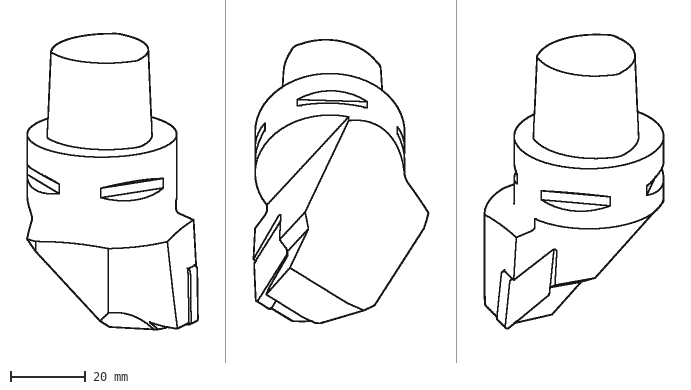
import cadquery as cq
import math

OVERALL_HEIGHT = 74.0
FLANGE_RADIUS = 40.0 / 2
SHANK_HEIGHT = 24.0
SHANK_FLANK_RADIUS = 13.3
SHANK_SEAM_RADIUS = 14.5
SHANK_LOBE_RADIUS = 14.9
LOBE_HALF_ANGLE_BASE = 9.0
LOBE_HALF_ANGLE_TOP = 7.0
LOBE_COUNT = 3
FIRST_LOBE_ANGLE = 90.0
SHANK_TAPER = 0.95

GROOVE_COUNT = 4
GROOVE_FIRST_ANGLE = 45.0
GROOVE_Z = -10.05
GROOVE_FLOOR_DISTANCE = 17.7
GROOVE_FLOOR_HALF_HEIGHT = 1.3
GROOVE_MOUTH_HALF_HEIGHT = 2.7

NECK_Z = -20.05
NECK_FILLET = 1.25
SHOULDER_ANGLE = 15.0
HEAD_RADIUS = 28.0
BLANK_BOTTOM = -55.5
CUTTER_SIZE = 148.0

FRONT_FLAT_Y = -26.05
SLANT_TOP_Z = -16.35
SLANT_ANGLE = 44.5
FLANK_POINT = (24.7, 0, -22.2)
FLANK_NORMAL = (1, -0.093, 0.06)
BOTTOM_POINT = (13.1, 1.5, -48.75)
BOTTOM_NORMAL = (-0.07, -0.089, -1)
HEEL_POINT = (10.4, -24.2, -45.8)
HEEL_NORMAL = (-0.026, -0.183, -1)
BEVEL_POINT = (10.3, FRONT_FLAT_Y, -41.15)
BEVEL_NORMAL = (0.42, -0.93, -0.4)

RAKE_ANGLE = 11.2
RAKE_TOP_Z = -17.8
RAKE_UPPER_OFFSET = 7.3
RAKE_LOWER_OFFSET = 4.2
STEP_TOP_Z = -38.55
STEP_BOTTOM_Z = -40.6

INSERT_NORMAL = (-0.09, -1, 0.09)
INSERT_X_DIRECTION = (1, -0.09, 0)
INSERT_EDGE = 15.55
INSERT_THICKNESS = 4.7
INSERT_NOSE_RADIUS = 0.8
INSERT_CORNER_ANGLE = 55.0
LEADING_EDGE_ANGLE = 93.0
HALF_CORNER = math.radians(INSERT_CORNER_ANGLE / 2)
NOSE_CENTER_RISE = (
    INSERT_NOSE_RADIUS / math.sin(HALF_CORNER) * math.sin(math.radians(LEADING_EDGE_ANGLE) + HALF_CORNER)
)
NOSE_Z = SHANK_HEIGHT - OVERALL_HEIGHT
INSERT_TIP = (27.0, 0, NOSE_Z + INSERT_NOSE_RADIUS - NOSE_CENTER_RISE)

RELIEF_SETBACK = 0.6
RELIEF_LENGTH = 6.8
RELIEF_WALL_ANGLE = -54.0


def polar(radius, angle):
    """Point at a radius and an angle in degrees."""
    return radius * math.cos(math.radians(angle)), radius * math.sin(math.radians(angle))


def material_beyond(point, normal):
    """Large block on the outer side of a plane."""
    return cq.Workplane(cq.Plane(point, normal=normal)).rect(CUTTER_SIZE, CUTTER_SIZE).extrude(CUTTER_SIZE)


def shank_outline(workplane, inset, lobe_half_angle):
    """Three bulging flanks joined by tight lobes."""
    lobe = SHANK_LOBE_RADIUS - inset
    seam = SHANK_SEAM_RADIUS - inset
    flank = SHANK_FLANK_RADIUS - inset
    pitch = 360 / LOBE_COUNT
    outline = workplane.moveTo(*polar(seam, FIRST_LOBE_ANGLE - lobe_half_angle))
    for i in range(LOBE_COUNT):
        angle = FIRST_LOBE_ANGLE + i * pitch
        outline = outline.threePointArc(polar(lobe, angle), polar(seam, angle + lobe_half_angle))
        outline = outline.threePointArc(
            polar(flank, angle + pitch / 2), polar(seam, angle + pitch - lobe_half_angle)
        )
    return outline.close()


def make_shank():
    base = shank_outline(cq.Workplane("XY"), 0, LOBE_HALF_ANGLE_BASE)
    top = shank_outline(base.workplane(offset=SHANK_HEIGHT), SHANK_TAPER, LOBE_HALF_ANGLE_TOP)
    return top.loft(ruled=True)


def make_blank():
    """Flange, filleted neck, conical shoulder and round head in one revolve."""
    fillet_center = (FLANGE_RADIUS + NECK_FILLET, NECK_Z)

    def fillet_point(turn):
        dx, dz = polar(NECK_FILLET, 180 + turn)
        return fillet_center[0] + dx, fillet_center[1] + dz

    turn = 90 - SHOULDER_ANGLE
    fillet_end = fillet_point(turn)
    shoulder_drop = (HEAD_RADIUS - fillet_end[0]) * math.tan(math.radians(SHOULDER_ANGLE))
    return (
        cq.Workplane("XZ")
        .lineTo(FLANGE_RADIUS, 0)
        .lineTo(FLANGE_RADIUS, NECK_Z)
        .threePointArc(fillet_point(turn / 2), fillet_end)
        .lineTo(HEAD_RADIUS, fillet_end[1] - shoulder_drop)
        .lineTo(HEAD_RADIUS, BLANK_BOTTOM)
        .lineTo(0, BLANK_BOTTOM)
        .close()
        .revolve(360, (0, 0), (0, 1))
    )


def make_groove(angle):
    """Cutter with a flat floor and flared sides, across the flange."""
    flare = (GROOVE_MOUTH_HALF_HEIGHT - GROOVE_FLOOR_HALF_HEIGHT) / (FLANGE_RADIUS - GROOVE_FLOOR_DISTANCE)
    depth = 2 * (FLANGE_RADIUS - GROOVE_FLOOR_DISTANCE)
    outer_half_height = GROOVE_FLOOR_HALF_HEIGHT + flare * depth
    outer_distance = GROOVE_FLOOR_DISTANCE + depth
    return (
        cq.Workplane("XZ")
        .moveTo(GROOVE_FLOOR_DISTANCE, GROOVE_Z - GROOVE_FLOOR_HALF_HEIGHT)
        .lineTo(outer_distance, GROOVE_Z - outer_half_height)
        .lineTo(outer_distance, GROOVE_Z + outer_half_height)
        .lineTo(GROOVE_FLOOR_DISTANCE, GROOVE_Z + GROOVE_FLOOR_HALF_HEIGHT)
        .close()
        .extrude(FLANGE_RADIUS, both=True)
        .rotate((0, 0, 0), (0, 0, 1), angle)
    )


def make_rake_cut():
    """Material in front of the stepped rake face, below the flange."""
    return (
        cq.Workplane("YZ")
        .moveTo(RAKE_UPPER_OFFSET, RAKE_TOP_Z)
        .lineTo(RAKE_UPPER_OFFSET, STEP_TOP_Z)
        .lineTo(RAKE_LOWER_OFFSET, STEP_BOTTOM_Z)
        .lineTo(RAKE_LOWER_OFFSET, BLANK_BOTTOM)
        .lineTo(CUTTER_SIZE, BLANK_BOTTOM)
        .lineTo(CUTTER_SIZE, RAKE_TOP_Z)
        .close()
        .extrude(CUTTER_SIZE, both=True)
        .rotate((0, 0, 0), (0, 0, 1), -RAKE_ANGLE)
    )


def insert_plane():
    return cq.Workplane(cq.Plane(INSERT_TIP, xDir=INSERT_X_DIRECTION, normal=INSERT_NORMAL))


def insert_prism(start, depth):
    """Rhombus with rounded corners, extruded along the insert axis."""
    leading = polar(INSERT_EDGE, LEADING_EDGE_ANGLE)
    trailing = polar(INSERT_EDGE, LEADING_EDGE_ANGLE + INSERT_CORNER_ANGLE)
    opposite = (leading[0] + trailing[0], leading[1] + trailing[1])
    return (
        insert_plane()
        .workplane(offset=start)
        .polyline([(0, 0), leading, opposite, trailing])
        .close()
        .extrude(depth)
        .edges(cq.selectors.ParallelDirSelector(cq.Vector(*INSERT_NORMAL)))
        .fillet(INSERT_NOSE_RADIUS)
    )


def make_relief():
    """Wedge that clears the head below the trailing edge near the insert nose."""
    trailing_angle = LEADING_EDGE_ANGLE + INSERT_CORNER_ANGLE
    offset = polar(RELIEF_SETBACK, trailing_angle - 90)
    along = polar(RELIEF_LENGTH, trailing_angle)
    inner = (offset[0] + along[0], offset[1] + along[1])
    wall = polar(2 * RELIEF_LENGTH, RELIEF_WALL_ANGLE)
    outer = (inner[0] - 2 * along[0], inner[1] - 2 * along[1])
    return (
        insert_plane()
        .polyline([inner, (inner[0] + wall[0], inner[1] + wall[1]), outer])
        .close()
        .extrude(HEAD_RADIUS, both=True)
    )


def make_holder():
    holder = make_blank()
    for i in range(GROOVE_COUNT):
        holder = holder.cut(make_groove(GROOVE_FIRST_ANGLE + i * 360 / GROOVE_COUNT))

    slant = math.radians(SLANT_ANGLE)
    trims = [
        ((0, FRONT_FLAT_Y, 0), (0, -1, 0)),
        ((-FLANGE_RADIUS, 0, SLANT_TOP_Z), (-math.sin(slant), 0, -math.cos(slant))),
        (BOTTOM_POINT, BOTTOM_NORMAL),
        (HEEL_POINT, HEEL_NORMAL),
        (BEVEL_POINT, BEVEL_NORMAL),
        (FLANK_POINT, FLANK_NORMAL),
    ]
    for point, normal in trims:
        holder = holder.cut(material_beyond(point, normal))
    holder = holder.cut(make_rake_cut()).cut(make_relief())

    holder = holder.cut(insert_prism(-INSERT_THICKNESS, 2 * INSERT_THICKNESS))
    return holder.union(make_shank())


holder = make_holder()
insert = insert_prism(0, INSERT_THICKNESS)

result = cq.Compound.makeCompound([holder.solids().val(), insert.solids().val()])